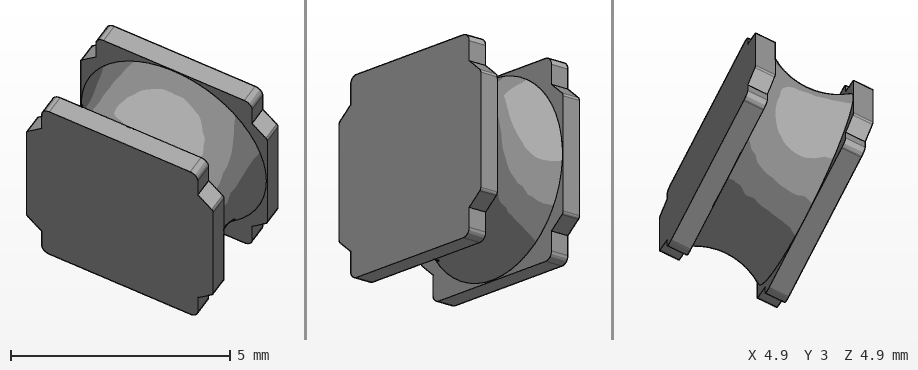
import cadquery as cq

side = 4.9
depth = 3.0
flange_thickness = 0.5

half_side = side / 2
shoulder_step = 0.4
shoulder_start = 0.68
shoulder_end = 1.015
corner_radius = 0.2
shoulder_radius = 0.1

waist_radius = 2.105
core_end_radius = 2.425

flange_inner_y = depth / 2 - flange_thickness


def make_flange(start_y):
    """Square plate with stepped corners, growing in +Y from start_y."""
    step_x = half_side - shoulder_step
    step_z = half_side - shoulder_start
    shoulder_z = half_side - shoulder_end
    quarter = [(step_x, half_side), (step_x, step_z), (half_side, shoulder_z)]

    right = quarter + [(x, -z) for x, z in reversed(quarter)]
    left = [(-x, z) for x, z in reversed(right)]
    plate = cq.Workplane("XZ", origin=(0, start_y, 0)).polyline(right + left).close()
    plate = plate.extrude(-flange_thickness)

    middle_y = start_y + flange_thickness / 2

    def corner_edges(x, z):
        points = [(sx * x, middle_y, sz * z) for sx in (-1, 1) for sz in (-1, 1)]
        selector = cq.selectors.NearestToPointSelector
        edges = [plate.edges("|Y").edges(selector(point)).val() for point in points]
        return plate.newObject(edges)

    plate = corner_edges(step_x, half_side).fillet(corner_radius)
    return corner_edges(half_side, shoulder_z).fillet(shoulder_radius)


def make_core():
    """Round core whose side is a concave arc, revolved about the Y axis."""
    return (
        cq.Workplane("XY")
        .moveTo(0, -flange_inner_y)
        .lineTo(core_end_radius, -flange_inner_y)
        .threePointArc((waist_radius, 0), (core_end_radius, flange_inner_y))
        .lineTo(0, flange_inner_y)
        .close()
        .revolve(360, (0, 0, 0), (0, 1, 0))
    )


front_flange = make_flange(-depth / 2)
back_flange = make_flange(flange_inner_y)
result = make_core().union(front_flange).union(back_flange)